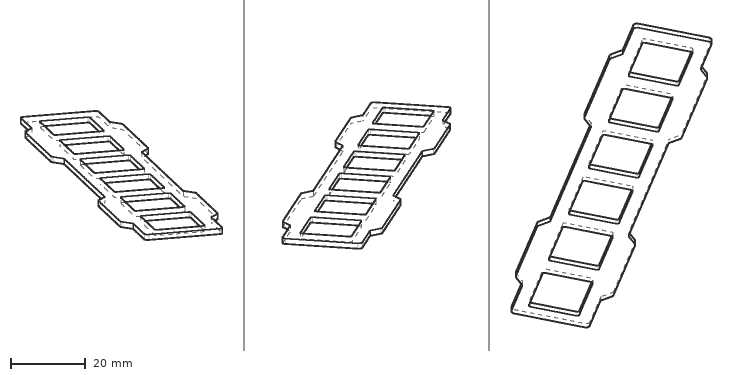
import cadquery as cq

length = 118.3
strip_width = 21.8
thickness = 1.5
corner_radius = 1.0

overall_width = 27.2
tab_height = (overall_width - strip_width) / 2
tab_corner_radius = 1.0
tab_left_foot = -47.9
tab_right_foot = 47.8
upper_inner_feet = (-17.7, 21.3)
lower_inner_feet = (-17.4, 21.0)

window_count = 6
window_size = 14.0
window_pitch = 19.0
window_row_center = 0.7
window_corner_radius = 0.5


def make_strip():
    strip = cq.Workplane("XY").box(length, strip_width, thickness)
    return strip.edges("|Z").fillet(corner_radius)


def make_tab(start, end, side):
    """Trapezoid tab from X = start to X = end; side is +1 or -1 along Y."""
    base = side * strip_width / 2
    crest = side * overall_width / 2
    outline = [
        (start, 0),
        (start, base),
        (start + tab_height, crest),
        (end - tab_height, crest),
        (end, base),
        (end, 0),
    ]
    tab = cq.Workplane("XY").polyline(outline).close().extrude(thickness / 2, both=True)
    crest_corners = cq.selectors.BoxSelector(
        (start, crest - tab_height / 2, -thickness),
        (end, crest + tab_height / 2, thickness),
    )
    return tab.edges("|Z").edges(crest_corners).fillet(tab_corner_radius)


def make_windows():
    windows = (
        cq.Workplane("XY")
        .center(window_row_center, 0)
        .rarray(window_pitch, 1.2, window_count, 1)
        .rect(window_size, window_size)
        .extrude(thickness, both=True)
    )
    return windows.edges("|Z").fillet(window_corner_radius)


plate = make_strip()
for side, inner_feet in ((1, upper_inner_feet), (-1, lower_inner_feet)):
    left_inner, right_inner = inner_feet
    plate = plate.union(make_tab(tab_left_foot, left_inner, side))
    plate = plate.union(make_tab(right_inner, tab_right_foot, side))

result = plate.cut(make_windows()).clean()